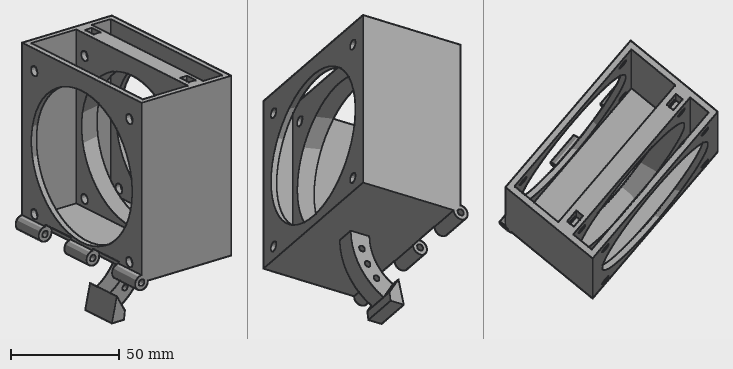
import cadquery as cq
import math


width = 90.0
height = 90.0
wall = 3.0
knuckle_radius = 3.7
depth = 56.1 - knuckle_radius

plate_thickness = 9.0
plate_from_back = 14.1
plate_back = depth - plate_from_back
plate_front = plate_back - plate_thickness

opening_diameter = 76.0
opening_height = 43.0
screw_diameter = 4.9
screw_spacing = 71.6
nut_slot_width = 6.6
nut_slot_thickness = 4.0
nut_slot_from_back = 18.2
nut_slot_below_screw = nut_slot_width / 2

outer_knuckle_length = 17.5
middle_knuckle_length = 16.7
pin_diameter = 3.2
groove_radius = 4.7
groove_axis_forward = 0.9

lever_inner_radius = 25.2
lever_thickness = 10.0
lever_outer_radius = lever_inner_radius + lever_thickness
lever_mid_radius = lever_inner_radius + lever_thickness / 2
lever_width = 10.0
lever_sweep = 60
lever_hole_diameter = 3.0
lever_hole_angles = (15, 30, 45)

tab_width = 20.2
tab_bottom = height - 124.7
tab_bottom_front = 9.7
tab_bottom_back = 16.8
tab_back_inset = 0.4


def box_between(x_range, y_range, z_range):
    """Block spanning the given (low, high) ranges."""
    spans = (x_range, y_range, z_range)
    lows = [low for low, high in spans]
    sizes = [high - low for low, high in spans]
    return cq.Workplane("XY").box(*sizes, centered=False).translate(tuple(lows))


def rod(x_start, x_end, radius):
    """Cylinder on the hinge axis."""
    return cq.Workplane("YZ", origin=(x_start, 0, 0)).circle(radius).extrude(x_end - x_start)


def polar(radius, angle):
    """(Y, Z) point around the hinge, with the angle turning down from +Y."""
    return (radius * math.cos(math.radians(angle)), -radius * math.sin(math.radians(angle)))


def make_housing():
    """Box open at the top, split by the middle plate into two compartments."""
    housing = box_between((-width / 2, width / 2), (0, depth), (0, height))
    inside = (-width / 2 + wall, width / 2 - wall)
    for y_range in ((wall, plate_front), (plate_back, depth - wall)):
        housing = housing.cut(box_between(inside, y_range, (wall, height)))
    return housing


def cut_openings(body):
    """Fan opening and four screw holes through all three upright plates."""
    face = cq.Workplane("XZ", origin=(0, 0, opening_height))
    opening = face.circle(opening_diameter / 2).extrude(-depth)
    screws = (
        face.rect(screw_spacing, screw_spacing, forConstruction=True)
        .vertices()
        .circle(screw_diameter / 2)
        .extrude(-depth)
    )
    return body.cut(opening).cut(screws)


def cut_nut_slots(body):
    """Slots from the top of the middle plate down past the upper screws."""
    slot_bottom = opening_height + screw_spacing / 2 - nut_slot_below_screw
    slots = (
        cq.Workplane("XY", origin=(0, depth - nut_slot_from_back, slot_bottom))
        .pushPoints([(-screw_spacing / 2, 0), (screw_spacing / 2, 0)])
        .rect(nut_slot_width, nut_slot_thickness)
        .extrude(height - slot_bottom)
    )
    return body.cut(slots)


def add_hinge(body):
    """Three knuckles, with clearance grooves for the mating knuckles between them."""
    outer_inside_end = width / 2 - outer_knuckle_length
    middle_end = middle_knuckle_length / 2
    for x_start, x_end in ((-outer_inside_end, -middle_end), (middle_end, outer_inside_end)):
        groove = rod(x_start, x_end, groove_radius).translate((0, -groove_axis_forward, 0))
        body = body.cut(groove)
    knuckles = (
        (-width / 2, -outer_inside_end),
        (-middle_end, middle_end),
        (outer_inside_end, width / 2),
    )
    for x_start, x_end in knuckles:
        body = body.union(rod(x_start, x_end, knuckle_radius))
    return body.cut(rod(-width / 2, width / 2, pin_diameter / 2))


def make_lever():
    """Arc-shaped lever with cross holes and a wider finger tab at its end."""
    arm = (
        cq.Workplane("YZ")
        .moveTo(lever_inner_radius, wall / 2)
        .lineTo(lever_inner_radius, 0)
        .threePointArc(polar(lever_inner_radius, lever_sweep / 2), polar(lever_inner_radius, lever_sweep))
        .lineTo(*polar(lever_outer_radius, lever_sweep))
        .threePointArc(polar(lever_outer_radius, lever_sweep / 2), (lever_outer_radius, 0))
        .lineTo(lever_outer_radius, wall / 2)
        .close()
        .extrude(lever_width / 2, both=True)
    )
    cross_holes = (
        cq.Workplane("YZ")
        .pushPoints([polar(lever_mid_radius, angle) for angle in lever_hole_angles])
        .circle(lever_hole_diameter / 2)
        .extrude(lever_width, both=True)
    )
    tab = (
        cq.Workplane("YZ")
        .polyline([
            polar(lever_inner_radius, lever_sweep),
            polar(lever_outer_radius - tab_back_inset, lever_sweep),
            (tab_bottom_back, tab_bottom),
            (tab_bottom_front, tab_bottom),
        ])
        .close()
        .extrude(tab_width / 2, both=True)
    )
    return arm.cut(cross_holes).union(tab)


housing = cut_nut_slots(cut_openings(make_housing()))
result = add_hinge(housing).union(make_lever())